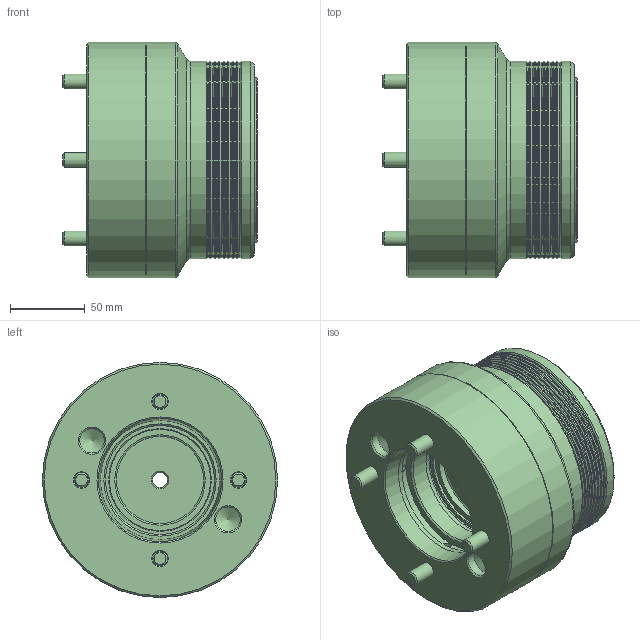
import cadquery as cq
import math


body_radius = 78.5
nose_radius = 66.0
plate_length = 39.7
shoulder_x = 60.2
shoulder_angle = 60.0
shoulder_round = 2.0
neck_fillet = 3.5
housing_end_x = 112.0
housing_end_chamfer = 2.3
edge_chamfer = 1.2
joint_chamfer = 0.2

groove_count = 8
groove_pitch = 3.0
groove_top_width = 2.2
groove_floor_width = 0.6
groove_depth = 0.8
first_groove_x = 81.1

taper_mouth_radius = 41.28
taper_slope = 1 / 8
taper_length = 12.0
taper_end_radius = taper_mouth_radius - taper_slope * taper_length
mouth_chamfer = 0.8
relief_start_x = 15.3
relief_end_x = 21.4
relief_radius = 42.0
bore_radius = 36.4
bore_chamfer = 1.1

ring_start_x = 34.6
ring_thickness = 2.8
spigot_start_x = ring_start_x + ring_thickness
recess_radius = 46.0
bore_end_x = 38.5

sleeve_seat_radius = 33.8
sleeve_seat_chamfer = 0.5
sleeve_start_x = 40.7
sleeve_pocket_radius = 30.2
sleeve_pocket_depth = 4.3

plug_radius = 29.1
plug_lead_in = 0.6
plug_start_x = sleeve_start_x + sleeve_pocket_depth + plug_lead_in
flange_radius = 54.8
flange_thickness = 2.0
flange_chamfer = 0.5
plug_end_x = housing_end_x + flange_thickness
plug_hole_radius = 5.0
plug_hole_chamfer = 1.0

hole_circle_radius = 52.4
pin_count = 4
pin_radius = 5.0
pin_projection = 16.0
pin_depth = 25.0
pin_chamfer = 1.0
pin_hole_chamfer = 0.5
port_radius = 2.5
port_x = 18.6
blind_hole_radius = 8.15
blind_hole_depth = 6.3
blind_hole_chamfer = 1.0
blind_hole_count = 2
blind_hole_start_angle = 30.0
drill_point_angle = 118.0


def revolve_profile(points):
    """Turn a closed outline of (x, radius) points about the X axis."""
    return cq.Workplane("XY").polyline(points).close().revolve(360, (0, 0, 0), (1, 0, 0))


def place_on_circle(body, angle):
    """Move a body from the chuck axis to the hole circle; the angle runs from +Y towards +Z."""
    return body.translate((0, hole_circle_radius, 0)).rotate((0, 0, 0), (1, 0, 0), angle)


def spaced_angles(count, start=0.0):
    return [start + 360 / count * index for index in range(count)]


def make_pin():
    tip_x = -pin_projection
    tip_radius = pin_radius - pin_chamfer
    return revolve_profile([
        (tip_x, 0),
        (tip_x, tip_radius),
        (tip_x + pin_chamfer, pin_radius),
        (pin_depth, pin_radius),
        (pin_depth, 0),
    ])


def make_pin_hole():
    return revolve_profile([
        (0, 0),
        (0, pin_radius + pin_hole_chamfer),
        (pin_hole_chamfer, pin_radius),
        (pin_depth, pin_radius),
        (pin_depth, 0),
    ])


def make_port():
    """Radial port from the relief out to the centre of the pin hole."""
    port_length = hole_circle_radius - taper_end_radius
    return cq.Workplane("XZ").center(port_x, 0).circle(port_radius).extrude(port_length)


def make_blind_hole():
    point_length = blind_hole_radius / math.tan(math.radians(drill_point_angle / 2))
    return revolve_profile([
        (0, 0),
        (0, blind_hole_radius + blind_hole_chamfer),
        (blind_hole_chamfer, blind_hole_radius),
        (blind_hole_depth, blind_hole_radius),
        (blind_hole_depth + point_length, 0),
    ])


def make_plate():
    plate = revolve_profile([
        (0, taper_mouth_radius + mouth_chamfer),
        (0, body_radius - edge_chamfer),
        (edge_chamfer, body_radius),
        (plate_length - joint_chamfer, body_radius),
        (plate_length, body_radius - joint_chamfer),
        (plate_length, recess_radius),
        (ring_start_x, recess_radius),
        (ring_start_x, bore_radius),
        (relief_end_x + bore_chamfer, bore_radius),
        (relief_end_x, bore_radius + bore_chamfer),
        (relief_end_x, relief_radius),
        (relief_start_x, relief_radius),
        (relief_start_x, taper_end_radius),
        (taper_length, taper_end_radius),
        (mouth_chamfer, taper_mouth_radius - taper_slope * mouth_chamfer),
    ])
    for angle in spaced_angles(pin_count):
        plate = plate.cut(place_on_circle(make_port(), angle))
        plate = plate.cut(place_on_circle(make_pin_hole(), angle))
    for angle in spaced_angles(blind_hole_count, blind_hole_start_angle):
        plate = plate.cut(place_on_circle(make_blind_hole(), angle))
    return plate


def make_spacer_ring():
    return revolve_profile([
        (ring_start_x, bore_radius),
        (ring_start_x, recess_radius),
        (spigot_start_x, recess_radius),
        (spigot_start_x, bore_radius),
    ])


def round_setback(radius, turn_angle):
    """Distance from a corner to where its round starts."""
    return radius * math.tan(math.radians(turn_angle / 2))


def make_housing():
    slope = math.radians(shoulder_angle)
    cone_length = (body_radius - nose_radius) / math.tan(slope)
    neck_x = shoulder_x + cone_length
    shoulder_setback = round_setback(shoulder_round, shoulder_angle)
    neck_setback = round_setback(neck_fillet, shoulder_angle)
    cone_start = (
        shoulder_x + shoulder_setback * math.cos(slope),
        body_radius - shoulder_setback * math.sin(slope),
    )
    cone_end = (
        neck_x - neck_setback * math.cos(slope),
        nose_radius + neck_setback * math.sin(slope),
    )
    outline = (
        cq.Workplane("XY")
        .moveTo(spigot_start_x, bore_radius)
        .lineTo(spigot_start_x, recess_radius)
        .lineTo(plate_length, recess_radius)
        .lineTo(plate_length, body_radius - joint_chamfer)
        .lineTo(plate_length + joint_chamfer, body_radius)
        .lineTo(shoulder_x - shoulder_setback, body_radius)
        .tangentArcPoint(cone_start, relative=False)
        .lineTo(*cone_end)
        .tangentArcPoint((neck_x + neck_setback, nose_radius), relative=False)
        .lineTo(housing_end_x - housing_end_chamfer, nose_radius)
        .lineTo(housing_end_x, nose_radius - housing_end_chamfer)
        .lineTo(housing_end_x, sleeve_seat_radius)
        .lineTo(bore_end_x + sleeve_seat_chamfer, sleeve_seat_radius)
        .lineTo(bore_end_x, sleeve_seat_radius + sleeve_seat_chamfer)
        .lineTo(bore_end_x, bore_radius)
        .close()
    )
    housing = outline.revolve(360, (0, 0, 0), (1, 0, 0))
    for index in range(groove_count):
        housing = housing.cut(make_ring_groove(first_groove_x + index * groove_pitch))
    return housing


def make_ring_groove(centre_x):
    floor_radius = nose_radius - groove_depth
    return revolve_profile([
        (centre_x - groove_top_width / 2, nose_radius),
        (centre_x - groove_floor_width / 2, floor_radius),
        (centre_x + groove_floor_width / 2, floor_radius),
        (centre_x + groove_top_width / 2, nose_radius),
    ])


def make_sleeve():
    pocket_end_x = plug_start_x - plug_lead_in
    return revolve_profile([
        (sleeve_start_x, sleeve_pocket_radius),
        (sleeve_start_x, sleeve_seat_radius),
        (housing_end_x, sleeve_seat_radius),
        (housing_end_x, plug_radius),
        (plug_start_x, plug_radius),
        (pocket_end_x, sleeve_pocket_radius),
    ])


def make_plug():
    return revolve_profile([
        (plug_start_x, plug_hole_radius + plug_hole_chamfer),
        (plug_start_x, plug_radius),
        (housing_end_x, plug_radius),
        (housing_end_x, flange_radius),
        (plug_end_x - flange_chamfer, flange_radius),
        (plug_end_x, flange_radius - flange_chamfer),
        (plug_end_x, plug_hole_radius),
        (plug_start_x + plug_hole_chamfer, plug_hole_radius),
    ])


plate = make_plate()
spacer_ring = make_spacer_ring()
housing = make_housing()
sleeve = make_sleeve()
plug = make_plug()
pins = [place_on_circle(make_pin(), angle) for angle in spaced_angles(pin_count)]

result = cq.Compound.makeCompound([
    plate.val(),
    spacer_ring.val(),
    housing.val(),
    sleeve.val(),
    plug.val(),
    *[pin.val() for pin in pins],
])